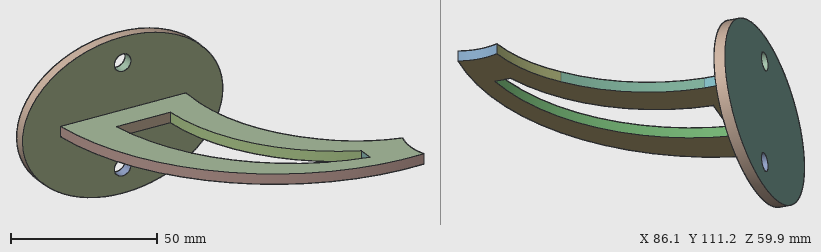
import cadquery as cq

plate_width = 80.1
plate_height = 59.9
plate_thickness = 4.0

screw_hole_diameter = 6.6
screw_hole_spacing = 40.0

arm_thickness = 4.0
overall_width_y = 111.2
arm_tip_y = overall_width_y - plate_width / 2
arm_root_upper_y = 25.2
arm_root_lower_y = -24.8
upper_edge_straight_end_x = 12.8
upper_root_arc_middle = (37.6, 31.5)
upper_edge_joint = (57.5, 45.9)
upper_tip_arc_middle = (64.8, 55.0)
lower_edge_middle = (58.4, 0.8)
arm_tip_inner_x = 71.7
arm_tip_outer_x = 86.0
tip_hollow_depth = 1.2

window_root_x = 14.0
window_root_upper_y = 13.0
window_root_lower_y = -8.5
window_tip_y = 53.9
window_tip_inner_x = 72.9
window_tip_outer_x = 78.7
window_upper_middle = (44.4, 22.2)
window_lower_middle = (51.7, 8.5)


def make_plate():
    """Elliptical plate with two screw holes on its vertical axis."""
    plate = cq.Workplane("YZ").ellipse(plate_width / 2, plate_height / 2).extrude(plate_thickness)
    holes = (
        cq.Workplane("YZ")
        .pushPoints([(0, -screw_hole_spacing / 2), (0, screw_hole_spacing / 2)])
        .circle(screw_hole_diameter / 2)
        .extrude(plate_thickness)
    )
    return plate.cut(holes)


def make_arm():
    """Solid arm, starting at mid-thickness of the plate so that the two fuse."""
    root_x = plate_thickness / 2
    tip_middle = ((arm_tip_inner_x + arm_tip_outer_x) / 2, arm_tip_y - tip_hollow_depth)
    return (
        cq.Workplane("XY")
        .moveTo(root_x, arm_root_lower_y)
        .lineTo(plate_thickness, arm_root_lower_y)
        .threePointArc(lower_edge_middle, (arm_tip_outer_x, arm_tip_y))
        .threePointArc(tip_middle, (arm_tip_inner_x, arm_tip_y))
        .threePointArc(upper_tip_arc_middle, upper_edge_joint)
        .threePointArc(upper_root_arc_middle, (upper_edge_straight_end_x, arm_root_upper_y))
        .lineTo(root_x, arm_root_upper_y)
        .close()
        .extrude(arm_thickness / 2, both=True)
    )


def make_window():
    """Cutter for the tapering window between the two curved bars of the arm."""
    return (
        cq.Workplane("XY")
        .moveTo(window_root_x, window_root_lower_y)
        .threePointArc(window_lower_middle, (window_tip_outer_x, window_tip_y))
        .lineTo(window_tip_inner_x, window_tip_y)
        .threePointArc(window_upper_middle, (window_root_x, window_root_upper_y))
        .close()
        .extrude(arm_thickness / 2, both=True)
    )


arm = make_arm().cut(make_window())
result = make_plate().union(arm)